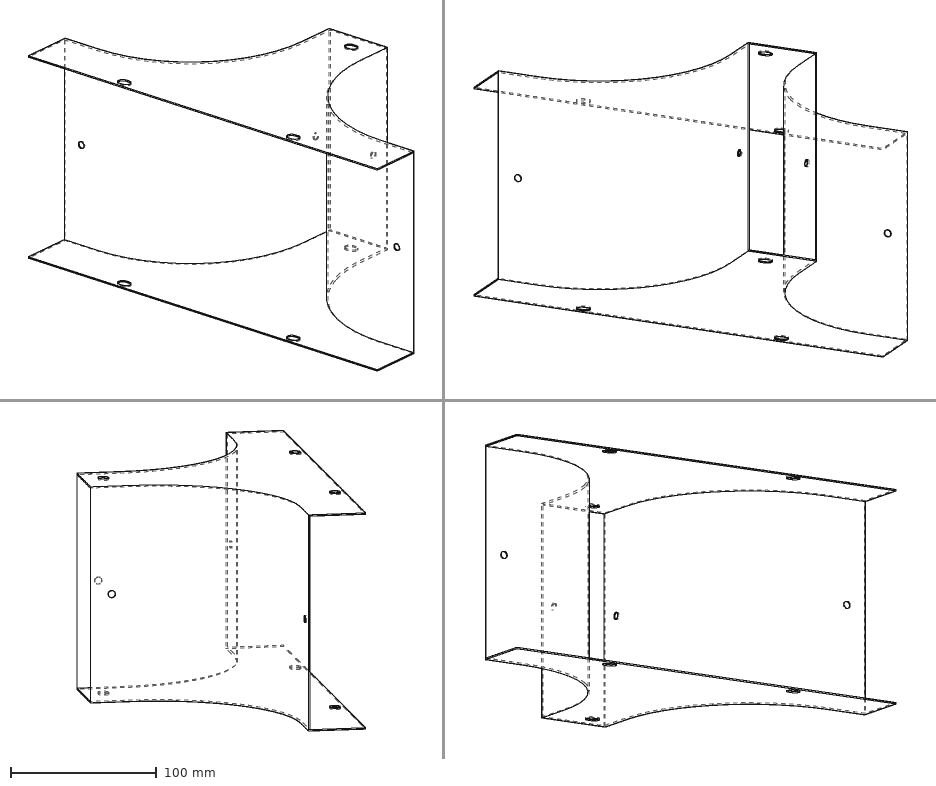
import cadquery as cq
import math

length = 310.0
depth = 168.0
height = 151.0
sheet = 1.0
run_straight = 30.0
branch_straight = 29.0
channel_width = 50.0
overlap = 0.03

hole_diameter = 5.0
hole_end_offset = 15.0

slot_width = 7.0
slot_length = 10.0
run_slot_x = 75.0
run_slot_y = 6.5
branch_slot_x = 6.0
branch_slot_end_offset = 15.0

half_length = length / 2
half_channel = channel_width / 2
bend_radius = half_length - run_straight - half_channel
bend_centre_x = half_length - run_straight
bend_centre_y = depth - branch_straight
run_wall_y = bend_centre_y - bend_radius


def tee_outline(offset):
    """Tee profile whose walls are moved outward from the channel face."""
    radius = bend_radius - offset
    branch_x = half_channel + offset
    shoulder_y = run_wall_y + offset
    mid_x = bend_centre_x - radius * math.cos(math.pi / 4)
    mid_y = bend_centre_y - radius * math.sin(math.pi / 4)
    return (
        cq.Workplane("XY")
        .moveTo(-half_length, 0)
        .lineTo(half_length, 0)
        .lineTo(half_length, shoulder_y)
        .lineTo(bend_centre_x, shoulder_y)
        .threePointArc((mid_x, mid_y), (branch_x, bend_centre_y))
        .lineTo(branch_x, depth)
        .lineTo(-branch_x, depth)
        .lineTo(-branch_x, bend_centre_y)
        .threePointArc((-mid_x, mid_y), (-bend_centre_x, shoulder_y))
        .lineTo(-half_length, shoulder_y)
        .close()
    )


body = tee_outline(sheet).extrude(height)
channel = tee_outline(0).extrude(height - 2 * sheet).translate((0, 0, sheet))
body = body.cut(channel)

slot_centres = [
    (-run_slot_x, run_slot_y),
    (run_slot_x, run_slot_y),
    (branch_slot_x, depth - branch_slot_end_offset),
]
slots = (
    cq.Workplane("XY")
    .pushPoints(slot_centres)
    .slot2D(slot_length, slot_width)
    .extrude(height + overlap)
)
body = body.cut(slots)

hole_radius = hole_diameter / 2
for side in (-1, 1):
    start = cq.Vector(side * (half_length - hole_end_offset), 0, height / 2)
    body = body.cut(cq.Solid.makeCylinder(hole_radius, depth, start, cq.Vector(0, 1, 0)))

start = cq.Vector(-half_length, depth - hole_end_offset, height / 2)
body = body.cut(cq.Solid.makeCylinder(hole_radius, length, start, cq.Vector(1, 0, 0)))

result = body